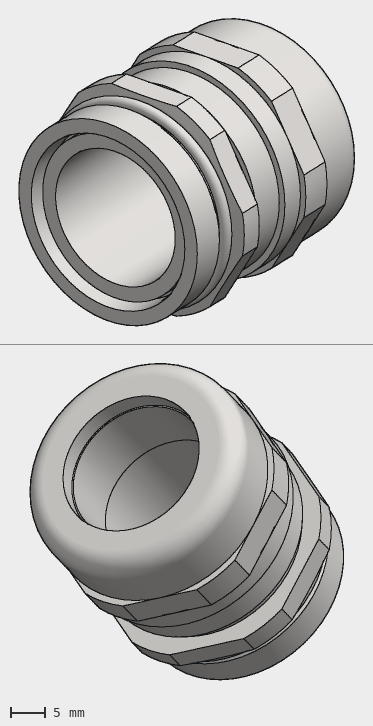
import cadquery as cq
import math


length = 38.0
across_flats = 34.0
corner_radius = 17.97

entry_chamfer_y = 5.25
collar_y = 8.1
collar_end_y = 12.1
relief_end_y = 14.02
thread_radius = 16.0
relief_radius = 15.0
collar_face_radius = 16.35
collar_chamfer_angle = 15.0

recess_mouth_radius = 13.75
recess_floor_radius = 13.53
recess_depth = 4.0

ring_outer_radius = 16.53
ring_section_diameter = 1.8
ring_section_radius = ring_section_diameter / 2
ring_center_radius = ring_outer_radius - ring_section_radius
ring_y = collar_y - ring_section_radius
neck_radius = ring_outer_radius - ring_section_diameter
entry_chamfer_end_y = entry_chamfer_y + thread_radius - neck_radius

cap_y = 19.45
cap_hex_y = 23.15
cap_hex_end_y = 28.15
cap_radius = across_flats / 2
cap_round = 3.0
cap_lip = 3.0
lip_y = length - cap_lip

sleeve_y = 1.75
sleeve_outer_radius = 13.05
sleeve_bore_radius = 10.7
seal_y = 24.0
seal_bore_radius = 10.5


def disc(radius, start, end):
    """Solid cylinder about Y between two stations."""
    return cq.Workplane("XZ", origin=(0, start, 0)).circle(radius).extrude(start - end)


def tube(outer, bore, start, end):
    """Hollow cylinder about Y between two stations."""
    return disc(outer, start, end).cut(disc(bore, start, end))


def revolve_profile(points):
    """Revolve a closed (radius, y) outline about Y."""
    return cq.Workplane("XY").polyline(points).close().revolve(360, (0, 0, 0), (0, 1, 0))


def hex_collar(start, end):
    """Hexagon with flats facing +Z and -Z and its corners turned to a cylinder."""
    corner_diameter = across_flats / math.cos(math.pi / 6)
    hexagon = cq.Workplane("XZ", origin=(0, start, 0)).polygon(6, corner_diameter).extrude(start - end)
    return hexagon.intersect(disc(corner_radius, start, end))


def make_chamfered_collar():
    """Body hexagon, with a shallow conical chamfer on the face beside the O-ring."""
    chamfer_height = (corner_radius - collar_face_radius) * math.tan(math.radians(collar_chamfer_angle))
    envelope = revolve_profile([
        (0, collar_y),
        (collar_face_radius, collar_y),
        (corner_radius, collar_y + chamfer_height),
        (corner_radius, collar_end_y),
        (0, collar_end_y),
    ])
    return hex_collar(collar_y, collar_end_y).intersect(envelope)


def make_body():
    """Threaded body with an O-ring neck, hexagon collar, thread relief and stepped bore."""
    shank = revolve_profile([
        (0, 0),
        (thread_radius, 0),
        (thread_radius, entry_chamfer_y),
        (neck_radius, entry_chamfer_end_y),
        (neck_radius, collar_y),
        (relief_radius, collar_y),
        (relief_radius, relief_end_y),
        (thread_radius, relief_end_y),
        (thread_radius, lip_y),
        (0, lip_y),
    ])
    bore = revolve_profile([
        (0, 0),
        (recess_mouth_radius, 0),
        (recess_floor_radius, recess_depth),
        (sleeve_outer_radius, recess_depth),
        (sleeve_outer_radius, lip_y),
        (0, lip_y),
    ])
    return shank.union(make_chamfered_collar()).cut(bore)


def make_cap():
    """Cap nut with a rounded end, hexagon band and an inner lip that closes over the body."""
    shell = disc(cap_radius, cap_y, length).faces(">Y").edges().fillet(cap_round)
    shell = shell.union(hex_collar(cap_hex_y, cap_hex_end_y))
    thread_bore = disc(thread_radius, cap_y, lip_y)
    lip_bore = disc(sleeve_bore_radius, lip_y, length)
    return shell.cut(thread_bore).cut(lip_bore)


def make_o_ring():
    """Round-section ring around the body neck."""
    section = cq.Workplane("XY").center(ring_center_radius, ring_y).circle(ring_section_radius)
    return section.revolve(360, (-ring_center_radius, 0, 0), (-ring_center_radius, 1, 0))


body = make_body()
cap = make_cap()
o_ring = make_o_ring()
sleeve = tube(sleeve_outer_radius, sleeve_bore_radius, sleeve_y, seal_y)
seal = tube(sleeve_outer_radius, seal_bore_radius, seal_y, lip_y)

result = cq.Compound.makeCompound([
    body.val(),
    cap.val(),
    o_ring.val(),
    sleeve.val(),
    seal.val(),
])